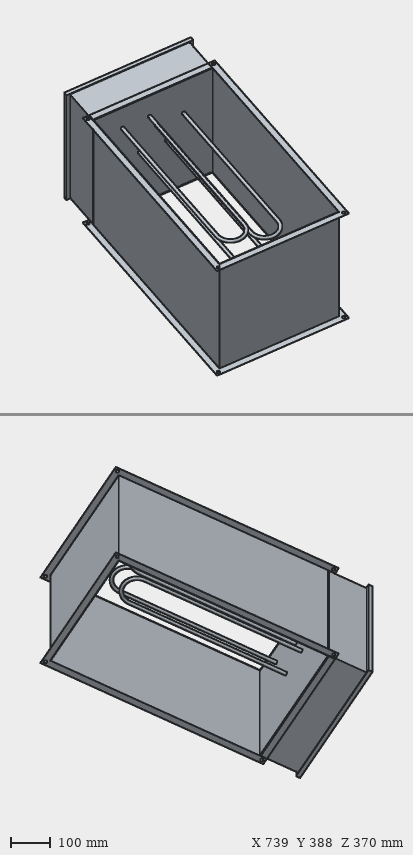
import cadquery as cq

passage_length = 600.0
passage_width = 350.0
total_height = 370.0
sheet = 1.0

flange_width = 19.0
flange_length = passage_length + 2 * flange_width
flange_depth = passage_width + 2 * flange_width
flange_hole_diameter = 8.0
hole_spacing_x = flange_length - flange_width
hole_spacing_y = flange_depth - flange_width
flange_offset = (total_height - sheet) / 2

plate_thickness = 3.0
plate_step = 1.5
plate_inner_x = -passage_length / 2 + plate_step
plate_outer_x = plate_inner_x - plate_thickness

total_length = 739.0
lid_outer_x = flange_length / 2 - total_length
lid_thickness = 11.5
lid_width = 373.0
box_height = 365.0
box_outer_x = lid_outer_x + lid_thickness

tube_diameter = 10.0
bend_radius = 40.0
bend_start_x = 150.0
element_pitch = 50.0
element_heights = [112.0, 2.0, 71.0]
first_element_y = -element_pitch * (len(element_heights) - 1) / 2

outer_width = passage_width + 2 * sheet


def make_duct():
    """Three sheet walls, open towards -X, with a flange at the top and bottom."""
    wall_end_x = passage_length / 2 + sheet
    duct = (
        cq.Workplane("XY")
        .box(wall_end_x - plate_inner_x, outer_width, total_height, centered=(False, True, True))
        .translate((plate_inner_x, 0, 0))
    )
    for flange_mid_z in (-flange_offset, flange_offset):
        flange = (
            cq.Workplane("XY")
            .box(flange_length, flange_depth, sheet)
            .faces(">Z")
            .workplane()
            .rect(hole_spacing_x, hole_spacing_y, forConstruction=True)
            .vertices()
            .hole(flange_hole_diameter)
        )
        duct = duct.union(flange.translate((0, 0, flange_mid_z)))
    passage = cq.Workplane("XY").box(passage_length, passage_width, total_height)
    return duct.cut(passage).cut(make_mounting_plate())


def make_mounting_plate():
    """Flat plate closing the duct, with a flange strip at its top and bottom."""
    plate = (
        cq.Workplane("XY")
        .box(plate_thickness, outer_width, total_height - 2 * sheet, centered=(False, True, True))
        .translate((plate_outer_x, 0, 0))
    )
    strip_mid_x = -(flange_length - flange_width) / 2
    for strip_mid_z in (-flange_offset, flange_offset):
        strip = cq.Workplane("XY").box(flange_width, passage_width, sheet)
        plate = plate.union(strip.translate((strip_mid_x, 0, strip_mid_z)))
    return plate


def make_terminal_box():
    """Plain box between the lid and the mounting plate."""
    return (
        cq.Workplane("XY")
        .box(plate_outer_x - box_outer_x, outer_width, box_height, centered=(False, True, True))
        .translate((box_outer_x, 0, 0))
    )


def make_lid():
    """Cover on the -X end of the terminal box."""
    return (
        cq.Workplane("XY")
        .box(lid_thickness, lid_width, total_height, centered=(False, True, True))
        .translate((lid_outer_x, 0, 0))
    )


def make_element(mid_y, height):
    """Round tube: a straight leg, a half-circle bend and a straight leg back to the plate."""
    path = (
        cq.Workplane("XY", origin=(0, mid_y, height))
        .moveTo(plate_inner_x, bend_radius)
        .lineTo(bend_start_x, bend_radius)
        .threePointArc((bend_start_x + bend_radius, 0), (bend_start_x, -bend_radius))
        .lineTo(plate_inner_x, -bend_radius)
    )
    return (
        cq.Workplane("YZ", origin=(plate_inner_x, mid_y + bend_radius, height))
        .circle(tube_diameter / 2)
        .sweep(path)
    )


duct = make_duct()
mounting_plate = make_mounting_plate()
terminal_box = make_terminal_box()
lid = make_lid()
elements = [
    make_element(first_element_y + index * element_pitch, height)
    for index, height in enumerate(element_heights)
]

result = cq.Compound.makeCompound(
    [duct.val(), mounting_plate.val(), terminal_box.val(), lid.val()]
    + [element.val() for element in elements]
)